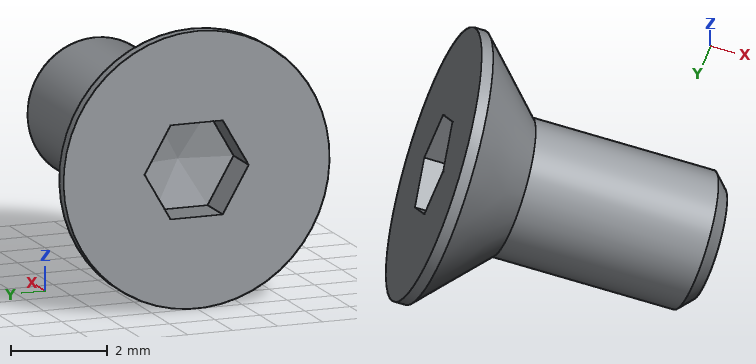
import cadquery as cq
import math

total_length = 6.0
head_diameter = 5.9
head_rim_length = 0.25
shank_diameter = 3.0
tip_chamfer = 0.3

socket_sides = 6
socket_across_flats = 2.0
socket_wall_depth = 0.85
socket_apex_depth = 1.06

head_radius = head_diameter / 2
shank_radius = shank_diameter / 2
countersink_end = head_rim_length + head_radius - shank_radius


def make_body():
    """Revolve the half profile of head, countersink, shank and tip about X."""
    return (
        cq.Workplane("XZ")
        .moveTo(0, 0)
        .lineTo(0, head_radius)
        .lineTo(head_rim_length, head_radius)
        .lineTo(countersink_end, shank_radius)
        .lineTo(total_length - tip_chamfer, shank_radius)
        .lineTo(total_length, shank_radius - tip_chamfer)
        .lineTo(total_length, 0)
        .close()
        .revolve(360, (0, 0, 0), (1, 0, 0))
    )


def make_socket():
    """Hexagonal prism with corners on +-Y, ending in a six-sided pyramid floor."""
    corner_radius = socket_across_flats / 2 / math.cos(math.pi / socket_sides)
    corners = []
    for index in range(socket_sides):
        angle = math.radians(360 / socket_sides * index)
        corners.append((corner_radius * math.cos(angle), corner_radius * math.sin(angle)))

    prism = cq.Workplane("YZ").polyline(corners).close().extrude(socket_wall_depth)

    apex = cq.Vector(socket_apex_depth, 0, 0)
    rim = [cq.Vector(socket_wall_depth, y, z) for y, z in corners]
    base_wire = cq.Wire.makePolygon(rim, close=True)
    faces = [cq.Face.makeFromWires(base_wire)]
    for start, end in zip(rim, rim[1:] + rim[:1]):
        side_wire = cq.Wire.makePolygon([start, end, apex], close=True)
        faces.append(cq.Face.makeFromWires(side_wire))
    pyramid = cq.Solid.makeSolid(cq.Shell.makeShell(faces))

    return prism.union(cq.Workplane(obj=pyramid))


result = make_body().cut(make_socket())